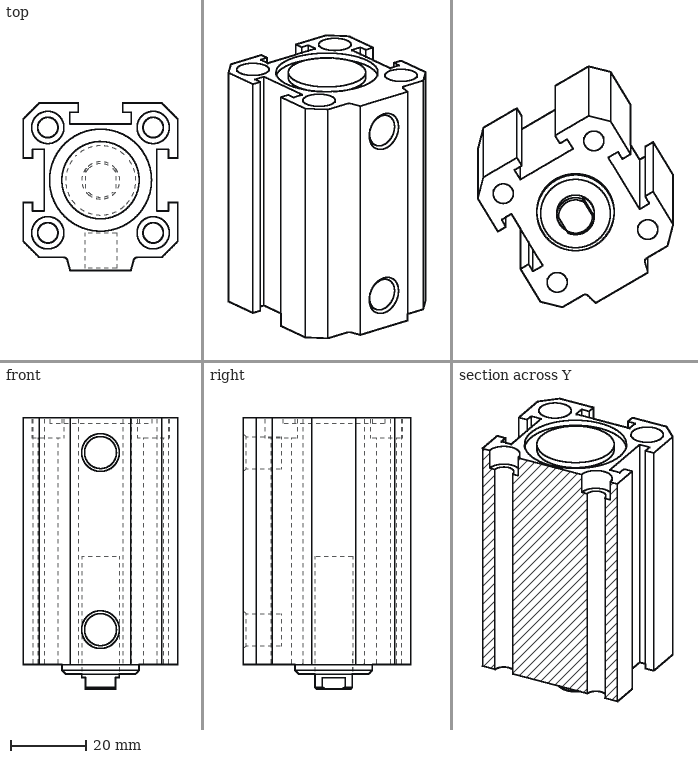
import cadquery as cq
import math

side = 41.0
half_side = side / 2
overall_length = 72.0
nose_length = 6.5
body_length = overall_length - nose_length
corner_chamfer = 4.25

slot_mouth = 11.7
slot_width = 16.3
slot_lip = 2.5
slot_depth = 5.55

overall_depth = 44.5
pad_face_y = half_side - overall_depth
pad_half_width = 8.1
pad_flank_angle = 15.0
pad_root_radius = 1.0

port_diameter = 8.5
port_mouth_diameter = 10.0
port_chamfer = (port_mouth_diameter - port_diameter) / 2
port_depth = 10.1
lower_port_z = 9.3
upper_port_z = 56.2

mount_offset = 14.0
mount_diameter = 5.3
mount_head_diameter = 8.6
mount_head_depth = 5.3

recess_diameter = 27.1
recess_depth = 1.5
crown_diameter = 20.5

boss_diameter = 20.5
boss_length = 2.5
boss_chamfer = 1.0

rod_diameter = 10.0
rod_seat_depth = 28.8
rod_chamfer = 0.5
flat_width = 8.0
flat_length = 3.0


def t_slot(angle):
    """T-shaped slot cutter opening on +X, turned about Z by the angle."""
    mouth = cq.Workplane("XY").box(slot_depth, slot_mouth, body_length, centered=(False, True, False))
    inner = cq.Workplane("XY").box(
        slot_depth - slot_lip, slot_width, body_length, centered=(False, True, False)
    )
    slot = mouth.union(inner).translate((half_side - slot_depth, 0, 0))
    return slot.rotate((0, 0, 0), (0, 0, 1), angle)


def port_pad():
    """Tapered pad with rounded roots where it meets the front face."""
    angle = math.radians(pad_flank_angle)
    front_y = -half_side
    flank_run = (front_y - pad_face_y) * math.tan(angle)
    root_x = pad_half_width + flank_run
    tangent = pad_root_radius * math.tan((math.pi / 2 - angle) / 2)
    arc_centre_x = root_x + tangent
    arc_centre_y = front_y - pad_root_radius
    mid_angle = math.pi / 2 + (math.pi / 2 - angle) / 2
    mid_x = arc_centre_x + pad_root_radius * math.cos(mid_angle)
    mid_y = arc_centre_y + pad_root_radius * math.sin(mid_angle)
    flank_x = root_x - tangent * math.sin(angle)
    flank_y = front_y - tangent * math.cos(angle)
    return (
        cq.Workplane("XY")
        .moveTo(-arc_centre_x, 0)
        .lineTo(-arc_centre_x, front_y)
        .threePointArc((-mid_x, mid_y), (-flank_x, flank_y))
        .lineTo(-pad_half_width, pad_face_y)
        .lineTo(pad_half_width, pad_face_y)
        .lineTo(flank_x, flank_y)
        .threePointArc((mid_x, mid_y), (arc_centre_x, front_y))
        .lineTo(arc_centre_x, 0)
        .close()
        .extrude(body_length)
    )


def port(z):
    """Blind port cutter with a chamfered mouth, entering from the pad face."""
    profile = [
        (0, 0),
        (port_mouth_diameter / 2, 0),
        (port_diameter / 2, port_chamfer),
        (port_diameter / 2, port_depth),
        (0, port_depth),
    ]
    cutter = cq.Workplane("XY").polyline(profile).close().revolve(360, (0, 0, 0), (0, 1, 0))
    return cutter.translate((0, pad_face_y, z))


def cylinder(diameter, bottom_z, top_z):
    return cq.Workplane("XY").workplane(offset=bottom_z).circle(diameter / 2).extrude(top_z - bottom_z)


def make_housing():
    housing = cq.Workplane("XY").rect(side, side).extrude(body_length)
    housing = housing.edges("|Z").chamfer(corner_chamfer)
    for angle in (0, 90, 180):
        housing = housing.cut(t_slot(angle))
    housing = housing.union(port_pad())

    boss = cylinder(boss_diameter, -boss_length, 0).faces("<Z").chamfer(boss_chamfer)
    housing = housing.union(boss)

    recess_floor_z = body_length - recess_depth
    recess = cylinder(recess_diameter, recess_floor_z, body_length)
    crown = cylinder(crown_diameter, recess_floor_z, body_length)
    housing = housing.cut(recess.cut(crown))
    housing = housing.cut(cylinder(rod_diameter, -boss_length, rod_seat_depth))

    housing = (
        housing.faces(">Z").workplane(origin=(0, 0, body_length))
        .rect(2 * mount_offset, 2 * mount_offset, forConstruction=True)
        .vertices()
        .cboreHole(mount_diameter, mount_head_diameter, mount_head_depth)
    )
    for z in (lower_port_z, upper_port_z):
        housing = housing.cut(port(z))
    return housing


def make_rod():
    rod = cylinder(rod_diameter, -nose_length, rod_seat_depth).faces("<Z").chamfer(rod_chamfer)

    for direction in (-1, 1):
        flat = cq.Workplane("XY").box(rod_diameter, rod_diameter, flat_length, centered=(True, True, False))
        offset = direction * (flat_width + rod_diameter) / 2
        rod = rod.cut(flat.translate((offset, 0, -nose_length)))
    return rod


housing = make_housing()
rod = make_rod()
result = cq.Compound.makeCompound([housing.val(), rod.val()])